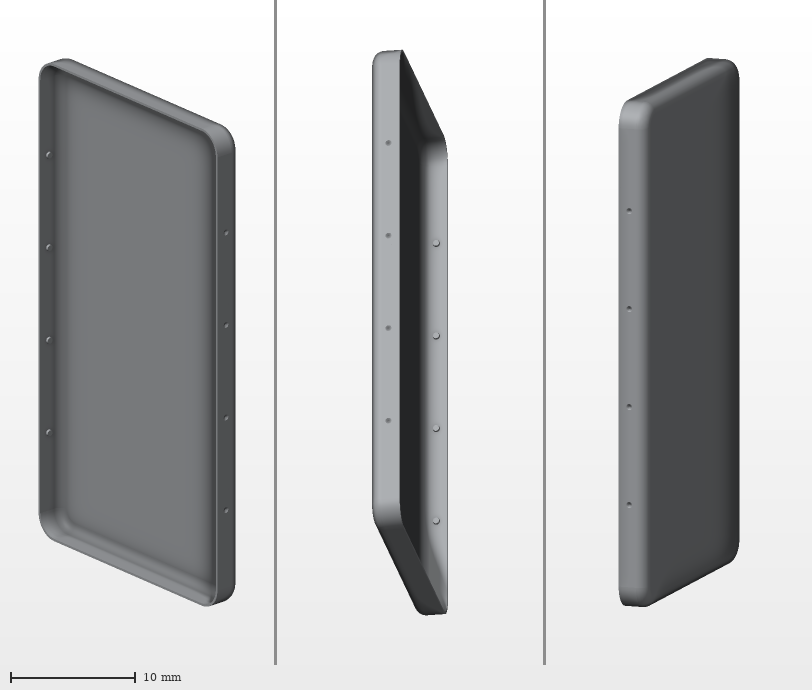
import cadquery as cq

width = 21.9
depth = 2.4
height = 41.3

wall = 0.2
corner_radius = 1.9
back_radius = 0.9

boss_base_radius = 0.3
boss_tip_radius = 0.25
hollow_mouth_radius = 0.25
hollow_tip_radius = 0.05
detent_height = 0.15
detent_count = 4
detent_pitch = 8.0
detent_from_rim = 0.9

front_y = -depth / 2


def rounded_block(inset):
    """Block with rounded corners and back edge, inset from the outer skin but flush with the front rim."""
    return (
        cq.Workplane("XZ", origin=(0, front_y, 0))
        .rect(width - 2 * inset, height - 2 * inset)
        .extrude(-(depth - inset))
        .edges("|Y")
        .fillet(corner_radius - inset)
        .faces(">Y")
        .edges()
        .fillet(back_radius - inset)
    )


def detent_cones(face_x, base_radius, tip_radius):
    """Truncated cones pointing inward from both side planes at x = +face_x and x = -face_x."""
    cones = []
    for side in (-1, 1):
        for index in range(detent_count):
            z = (index - (detent_count - 1) / 2) * detent_pitch
            base_centre = cq.Vector(side * face_x, front_y + detent_from_rim, z)
            inward = cq.Vector(-side, 0, 0)
            cones.append(cq.Solid.makeCone(base_radius, tip_radius, detent_height, base_centre, inward))
    return cq.Workplane(obj=cq.Compound.makeCompound(cones))


tray = rounded_block(0).cut(rounded_block(wall))
bosses = detent_cones(width / 2 - wall, boss_base_radius, boss_tip_radius)
hollows = detent_cones(width / 2, hollow_mouth_radius, hollow_tip_radius)
result = tray.union(bosses).cut(hollows)